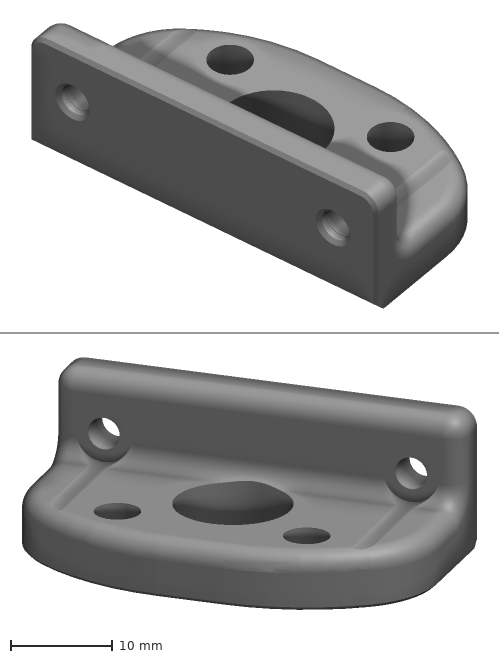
import cadquery as cq
import math

width = 43.2
depth = 24.0
height = 14.95

plate_thickness = 5.95
wall_thickness = 4.6
round_radius = 2.0
edge_chamfer = 0.4
heel_chamfer = 1.55

side_length = 11.58
side_arc_radius = 9.8
rear_flat = 7.15

bore_diameter = 12.0
pin_hole_diameter = 4.7
pin_hole_spacing = 19.95
pin_hole_y = 17.55

screw_spacing = 32.4
screw_z = 8.8
screw_entry_diameter = 3.4
screw_entry_depth = 1.2
screw_diameter = 3.33
screw_mouth_diameter = 4.28
screw_head_diameter = 6.0


def plate_outline():
    """D-shaped outline whose corner arcs are tangent to each other and to the edges."""
    half_width = width / 2
    half_flat = rear_flat / 2
    rise = depth - side_length
    side_center_x = half_width - side_arc_radius
    center_shift = side_center_x - half_flat
    rear_arc_radius = (center_shift**2 + rise**2 - side_arc_radius**2) / (2 * (rise - side_arc_radius))
    rear_center_y = depth - rear_arc_radius

    meet_angle = math.atan2(side_length - rear_center_y, center_shift)
    side_mid_angle = meet_angle / 2
    rear_mid_angle = (meet_angle + math.pi / 2) / 2

    def side_point(angle):
        return (
            side_center_x + side_arc_radius * math.cos(angle),
            side_length + side_arc_radius * math.sin(angle),
        )

    def rear_point(angle):
        return (
            half_flat + rear_arc_radius * math.cos(angle),
            rear_center_y + rear_arc_radius * math.sin(angle),
        )

    def mirrored(point):
        return (-point[0], point[1])

    meet = side_point(meet_angle)
    return (
        cq.Workplane("XY")
        .moveTo(-half_width, 0)
        .lineTo(half_width, 0)
        .lineTo(half_width, side_length)
        .threePointArc(side_point(side_mid_angle), meet)
        .threePointArc(rear_point(rear_mid_angle), (half_flat, depth))
        .lineTo(-half_flat, depth)
        .threePointArc(mirrored(rear_point(rear_mid_angle)), mirrored(meet))
        .threePointArc(mirrored(side_point(side_mid_angle)), (-half_width, side_length))
        .close()
    )


def bracket_body():
    """Plate and front wall with all rounded and chamfered edges."""
    plate = plate_outline().extrude(plate_thickness)
    wall = (
        cq.Workplane("XY")
        .box(width, wall_thickness, height, centered=(True, False, False))
        .edges("|Y and >Z")
        .fillet(round_radius)
    )
    body = plate.union(wall)

    corner = cq.selectors.NearestToPointSelector((0, wall_thickness, plate_thickness))
    body = body.edges(corner).fillet(round_radius)

    rear_rim = cq.selectors.NearestToPointSelector((0, depth, plate_thickness))
    body = body.edges(rear_rim).fillet(round_radius)

    body = body.edges("<Y and <Z").chamfer(heel_chamfer)
    body = body.faces("<Z").edges("not <Y").chamfer(edge_chamfer)
    return body.faces("<Y").edges("not <Z").chamfer(edge_chamfer)


def plate_holes():
    """Central bore and the two pin holes beside it."""
    bore = cq.Workplane("XY").center(0, side_length).circle(bore_diameter / 2).extrude(height)
    pins = (
        cq.Workplane("XY")
        .pushPoints([(-pin_hole_spacing / 2, pin_hole_y), (pin_hole_spacing / 2, pin_hole_y)])
        .circle(pin_hole_diameter / 2)
        .extrude(plate_thickness)
    )
    return bore.union(pins)


def screw_cut(x):
    """Screw hole with a conical mouth, a wider entry and head clearance grazing the plate top."""
    mouth_depth = (screw_mouth_diameter - screw_entry_diameter) / 2
    axis = cq.Vector(0, 1, 0)
    front = cq.Vector(x, 0, screw_z)
    seat = cq.Vector(x, wall_thickness, screw_z)
    hole = cq.Solid.makeCylinder(screw_diameter / 2, wall_thickness, front, axis)
    entry = cq.Solid.makeCylinder(screw_entry_diameter / 2, screw_entry_depth, front, axis)
    mouth = cq.Solid.makeCone(screw_mouth_diameter / 2, screw_entry_diameter / 2, mouth_depth, front, axis)
    head = cq.Solid.makeCylinder(screw_head_diameter / 2, depth - wall_thickness, seat, axis)
    cut = cq.Workplane(hole)
    for section in (entry, mouth, head):
        cut = cut.union(cq.Workplane(section))
    return cut


result = bracket_body().cut(plate_holes())
for screw_x in (-screw_spacing / 2, screw_spacing / 2):
    result = result.cut(screw_cut(screw_x))